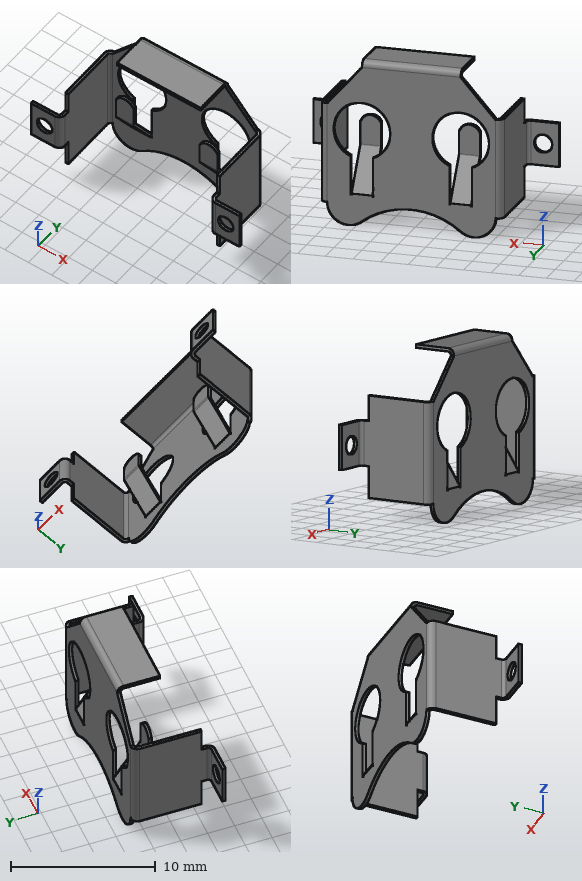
import cadquery as cq
import math


SHEET = 0.25
INNER_BEND = 0.25
OUTER_BEND = INNER_BEND + SHEET

WIDTH = 17.78
DEPTH = 5.97
HEIGHT = 12.05

WALL_OUTER_X = 6.6
WALL_INNER_X = WALL_OUTER_X - SHEET
WALL_DEPTH = 5.09
WALL_BOTTOM = 1.53
WALL_TOP = 8.71

FOOT_HEIGHT = 3.16
FOOT_CENTER_Z = 5.33
FOOT_HOLE_X = 7.73
FOOT_HOLE_DIAMETER = 1.3

PLATE_HALF_WIDTH = WALL_OUTER_X - OUTER_BEND
PLATE_TOP = HEIGHT - OUTER_BEND
LOBE_RADIUS = 1.56
ARCH_TOP = 1.56

FLANGE_HALF_WIDTH = 3.57
FLANGE_DEPTH = 3.18

TONGUE_X = 3.57
WINDOW_DIAMETER = 4.09
WINDOW_Z = 6.92
SLOT_WIDTH = 1.62
SLOT_BOTTOM = 2.24
TONGUE_WIDTH = 1.51
TONGUE_TOP = 7.47
TONGUE_REACH = 2.28
TONGUE_LEAN = math.radians(34.5)
TONGUE_INNER_BEND = 0.04
TONGUE_TIP_RADIUS = SLOT_WIDTH / 2


def arc_point(center, radius, angle):
    """Point on a circle at an angle measured from the first axis of the sketch."""
    return (center[0] + radius * math.cos(angle), center[1] + radius * math.sin(angle))


def back_plate():
    """Flat plate with chamfered shoulders, two rounded lobes and a concave arch tangent to both."""
    lobe_x = PLATE_HALF_WIDTH - LOBE_RADIUS
    rise = ARCH_TOP - LOBE_RADIUS
    arch_radius = (lobe_x**2 + rise**2 - LOBE_RADIUS**2) / (2 * (LOBE_RADIUS + rise))
    arch_center_z = ARCH_TOP - arch_radius
    lobe_share = LOBE_RADIUS / (LOBE_RADIUS + arch_radius)
    tangent_x = lobe_x * (1 - lobe_share)
    tangent_z = LOBE_RADIUS + (arch_center_z - LOBE_RADIUS) * lobe_share
    return (
        cq.Workplane("XZ")
        .moveTo(-FLANGE_HALF_WIDTH, PLATE_TOP)
        .lineTo(FLANGE_HALF_WIDTH, PLATE_TOP)
        .lineTo(PLATE_HALF_WIDTH, WALL_TOP)
        .lineTo(PLATE_HALF_WIDTH, LOBE_RADIUS)
        .threePointArc((lobe_x, 0), (tangent_x, tangent_z))
        .threePointArc((0, ARCH_TOP), (-tangent_x, tangent_z))
        .threePointArc((-lobe_x, 0), (-PLATE_HALF_WIDTH, LOBE_RADIUS))
        .lineTo(-PLATE_HALF_WIDTH, WALL_TOP)
        .close()
        .extrude(SHEET)
    )


def top_flange():
    """Flange bent forward from the top edge of the plate."""
    center = (-OUTER_BEND, PLATE_TOP)
    middle = math.radians(45)
    return (
        cq.Workplane("YZ")
        .moveTo(0, PLATE_TOP)
        .threePointArc(arc_point(center, OUTER_BEND, middle), (-OUTER_BEND, HEIGHT))
        .lineTo(-FLANGE_DEPTH, HEIGHT)
        .lineTo(-FLANGE_DEPTH, HEIGHT - SHEET)
        .lineTo(-OUTER_BEND, HEIGHT - SHEET)
        .threePointArc(arc_point(center, INNER_BEND, middle), (-SHEET, PLATE_TOP))
        .close()
        .extrude(FLANGE_HALF_WIDTH, both=True)
    )


def side_wall():
    """Right wall, bent forward from the side edge of the plate."""
    center = (PLATE_HALF_WIDTH, -OUTER_BEND)
    middle = math.radians(45)
    return (
        cq.Workplane("XY", origin=(0, 0, WALL_BOTTOM))
        .moveTo(PLATE_HALF_WIDTH, 0)
        .threePointArc(arc_point(center, OUTER_BEND, middle), (WALL_OUTER_X, -OUTER_BEND))
        .lineTo(WALL_OUTER_X, -WALL_DEPTH)
        .lineTo(WALL_INNER_X, -WALL_DEPTH)
        .lineTo(WALL_INNER_X, -OUTER_BEND)
        .threePointArc(arc_point(center, INNER_BEND, middle), (PLATE_HALF_WIDTH, -SHEET))
        .close()
        .extrude(WALL_TOP - WALL_BOTTOM)
    )


def foot():
    """Right foot, bent outward from the front edge of the wall, with a mounting hole."""
    bend_x = WALL_OUTER_X + INNER_BEND
    bend_y = -DEPTH + OUTER_BEND
    center = (bend_x, bend_y)
    middle = math.radians(225)
    strip = (
        cq.Workplane("XY", origin=(0, 0, FOOT_CENTER_Z - FOOT_HEIGHT / 2))
        .moveTo(WALL_INNER_X, -WALL_DEPTH)
        .lineTo(WALL_INNER_X, bend_y)
        .threePointArc(arc_point(center, OUTER_BEND, middle), (bend_x, -DEPTH))
        .lineTo(WIDTH / 2, -DEPTH)
        .lineTo(WIDTH / 2, -DEPTH + SHEET)
        .lineTo(bend_x, -DEPTH + SHEET)
        .threePointArc(arc_point(center, INNER_BEND, middle), (WALL_OUTER_X, bend_y))
        .lineTo(WALL_OUTER_X, -WALL_DEPTH)
        .close()
        .extrude(FOOT_HEIGHT)
    )
    hole = (
        cq.Workplane("XZ")
        .center(FOOT_HOLE_X, FOOT_CENTER_Z)
        .circle(FOOT_HOLE_DIAMETER / 2)
        .extrude(DEPTH)
    )
    return strip.cut(hole)


def window():
    """Keyhole cutter at X = 0: a round window with a slot running down from it."""
    slot_height = WINDOW_Z - SLOT_BOTTOM
    slot = (
        cq.Workplane("XZ")
        .center(0, SLOT_BOTTOM + slot_height / 2)
        .rect(SLOT_WIDTH, slot_height)
        .extrude(SHEET)
    )
    return cq.Workplane("XZ").center(0, WINDOW_Z).circle(WINDOW_DIAMETER / 2).extrude(SHEET).union(slot)


def tongue():
    """Spring tongue at X = 0: leans forward from the slot bottom, then turns upright to a rounded tip."""
    outer_bend = TONGUE_INNER_BEND + SHEET
    center_y = -TONGUE_REACH + outer_bend
    start_y = center_y - outer_bend * math.cos(TONGUE_LEAN)
    start_z = SLOT_BOTTOM + (-SHEET - start_y) / math.tan(TONGUE_LEAN)
    center = (center_y, start_z + outer_bend * math.sin(TONGUE_LEAN))
    lean_end = math.pi + TONGUE_LEAN
    lean_middle = math.pi + TONGUE_LEAN / 2
    root_z = SLOT_BOTTOM + SHEET / math.sin(TONGUE_LEAN) - SHEET / math.tan(TONGUE_LEAN)
    strip = (
        cq.Workplane("YZ")
        .moveTo(0, SLOT_BOTTOM)
        .lineTo(-SHEET, SLOT_BOTTOM)
        .lineTo(start_y, start_z)
        .threePointArc(arc_point(center, outer_bend, lean_middle), (-TONGUE_REACH, center[1]))
        .lineTo(-TONGUE_REACH, TONGUE_TOP)
        .lineTo(-TONGUE_REACH + SHEET, TONGUE_TOP)
        .lineTo(-TONGUE_REACH + SHEET, center[1])
        .threePointArc(
            arc_point(center, TONGUE_INNER_BEND, lean_middle),
            arc_point(center, TONGUE_INNER_BEND, lean_end),
        )
        .lineTo(0, root_z)
        .close()
        .extrude(TONGUE_WIDTH / 2, both=True)
    )
    tip_center_z = TONGUE_TOP - TONGUE_TIP_RADIUS
    tip_round = cq.Workplane("XZ").center(0, tip_center_z).circle(TONGUE_TIP_RADIUS).extrude(TONGUE_REACH)
    below_tip = (
        cq.Workplane("XZ")
        .center(0, tip_center_z / 2)
        .rect(TONGUE_WIDTH, tip_center_z)
        .extrude(TONGUE_REACH)
    )
    return strip.intersect(tip_round.union(below_tip))


right_side = side_wall().union(foot())
result = back_plate().union(top_flange()).union(right_side).union(right_side.mirror("YZ"))
for x in (-TONGUE_X, TONGUE_X):
    result = result.cut(window().translate((x, 0, 0)))
    result = result.union(tongue().translate((x, 0, 0)))